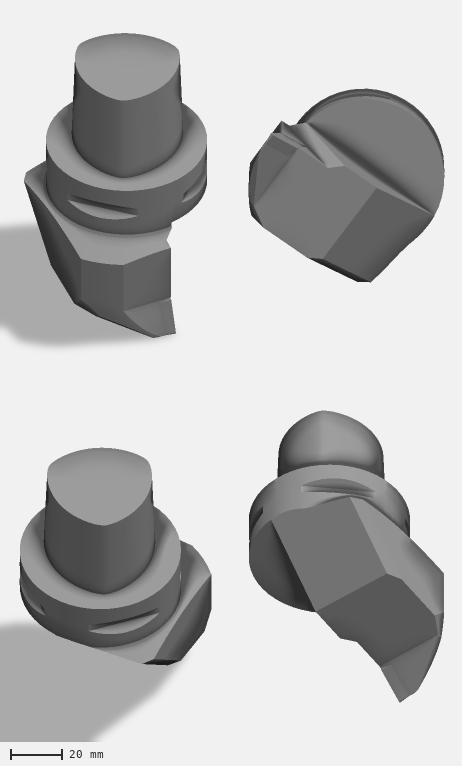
import cadquery as cq
import math


shank_height = 38.0
shank_base_radius = 21.9
shank_base_lobe = 1.5
shank_lobe_sharpening = 0.14
shank_top_scale = 0.94

flange_radius = 31.5
flange_height = 20.3
groove_floor_offset = 27.9
groove_center_z = -11.1
groove_floor_width = 3.5
groove_mouth_width = 7.8

neck_bottom_z = -22.0
fillet_radius_end = 32.5
fillet_end_z = -22.9
head_radius = 44.9
shoulder_edge_z = -26.5

head_front_y = -33.9
head_back_y = 4.5
head_right_x = 40.0
head_corner_x = -3.0
head_bottom_angle = 10
slope_chamfer = 3.1

facet_point = (29.4, head_front_y, -47.1)
facet_normal = (35.3, -71.2, -32.5)
nose_relief_point = (31.9, -28.8, -55.2)
nose_relief_normal = (34.7, -43.4, -46.0)

clearance_top = (36.1, -24.1)
clearance_bottom = (17.5, -52.4)

tip_x = 45.0
tip_z = shank_height - 103.0
tip_radius = 0.8
insert_side = 16.6
lower_flank_angle = -37.5
right_flank_angle = -72.5
insert_face_y = -0.2
insert_thickness = 4.6
relief_angle = 7

big = 123.6


def cut_block(origin, normal):
    """Block that fills the side of a plane that its normal points to."""
    return cq.Workplane(cq.Plane(origin, normal=normal)).box(big, big, big, centered=(True, True, False))


def polar(angle):
    return math.cos(math.radians(angle)), math.sin(math.radians(angle))


def step(point, direction, length):
    return point[0] + direction[0] * length, point[1] + direction[1] * length


def along_y(points, y_start, y_end):
    """Prism of an XZ outline between two Y positions."""
    plane = cq.Workplane("XZ", origin=(0, y_end, 0))
    return plane.polyline(points).close().extrude(y_end - y_start)


lower_dir = polar(lower_flank_angle)
right_dir = polar(right_flank_angle)
tip_bisector = polar((lower_flank_angle + right_flank_angle) / 2)
half_tip_sine = math.sin(math.radians((lower_flank_angle - right_flank_angle) / 2))
tip_center = (tip_x - tip_radius, tip_z + tip_radius)


def sharp_tip(inset):
    """Point where the flanks would meet, with both flanks moved inwards by inset."""
    return step(tip_center, tip_bisector, (tip_radius - inset) / half_tip_sine)


def rhombus():
    tip = sharp_tip(0)
    lower = step(tip, lower_dir, -insert_side)
    right = step(tip, right_dir, -insert_side)
    far = step(lower, right_dir, -insert_side)
    return [tip, right, far, lower]


def make_insert():
    """Relieved rhombic insert with rounded acute corners."""
    plate = along_y(rhombus(), insert_face_y - insert_thickness, insert_face_y)
    acute = [rhombus()[0], rhombus()[2]]
    for x, z in acute:
        edge = cq.selectors.NearestToPointSelector((x, insert_face_y - insert_thickness / 2, z))
        plate = plate.edges(edge).fillet(tip_radius)
    outline = plate.faces(">Y").wires().val()
    return (
        cq.Workplane("XZ", origin=(0, insert_face_y, 0))
        .add(outline)
        .toPending()
        .extrude(insert_thickness, taper=relief_angle)
    )


def lobed_point(t, scale):
    """Three-lobed curve with one lobe towards +Y, from the distance of its tangents to the axis."""
    angle = 2 * math.pi * t
    three_fold = shank_base_lobe * math.sin(3 * angle)
    six_fold = shank_lobe_sharpening * math.cos(6 * angle)
    support = scale * (shank_base_radius - three_fold - six_fold)
    three_fold_slope = -3 * shank_base_lobe * math.cos(3 * angle)
    six_fold_slope = 6 * shank_lobe_sharpening * math.sin(6 * angle)
    slope = scale * (three_fold_slope + six_fold_slope)
    x = support * math.cos(angle) - slope * math.sin(angle)
    y = support * math.sin(angle) + slope * math.cos(angle)
    return x, y


def make_shank():
    return (
        cq.Workplane("XY")
        .parametricCurve(lambda t: lobed_point(t, 1.0))
        .workplane(offset=shank_height)
        .parametricCurve(lambda t: lobed_point(t, shank_top_scale))
        .loft(ruled=True)
    )


def make_groove(angle):
    """Gripper groove with a flat floor and flared sides, along a chord of the flange."""
    depth = flange_radius - groove_floor_offset
    floor = groove_floor_width / 2
    mouth = groove_mouth_width / 2
    profile = [
        (groove_floor_offset, groove_center_z - floor),
        (groove_floor_offset + depth, groove_center_z - mouth),
        (groove_floor_offset + depth, groove_center_z + mouth),
        (groove_floor_offset, groove_center_z + floor),
    ]
    groove = along_y(profile, -flange_radius, flange_radius)
    return groove.rotate((0, 0, 0), (0, 0, 1), angle)


def make_flange():
    flange = cq.Workplane("XY").circle(flange_radius).extrude(-flange_height)
    for angle in (45, 135, 225, 315):
        flange = flange.cut(make_groove(angle))
    return flange


def make_head_envelope():
    profile = [
        (0, -flange_height),
        (flange_radius, -flange_height),
        (flange_radius, neck_bottom_z),
        (fillet_radius_end, fillet_end_z),
        (head_radius, shoulder_edge_z),
        (head_radius, tip_z),
        (0, tip_z),
    ]
    return cq.Workplane("XZ").polyline(profile).close().revolve(360, (0, 0), (0, 1))


def make_head_block():
    """Prism of the head outline, with its nose under the insert and the slope chamfer."""
    relief = insert_thickness * math.tan(math.radians(relief_angle))
    nose = sharp_tip(relief)
    slope_start = (-flange_radius, -flange_height)
    slope_end = (head_corner_x, -flange_height - flange_radius - head_corner_x)
    bottom_slope = -math.tan(math.radians(head_bottom_angle))
    flank_slope = lower_dir[1] / lower_dir[0]
    bottom_at_nose = slope_end[1] + bottom_slope * (nose[0] - slope_end[0])
    flank_start_x = nose[0] - (bottom_at_nose - nose[1]) / (bottom_slope - flank_slope)
    flank_start = (flank_start_x, nose[1] + flank_slope * (flank_start_x - nose[0]))
    right_start = (head_right_x, nose[1] + (head_right_x - nose[0]) * right_dir[1] / right_dir[0])
    outline = [slope_start, slope_end, flank_start, nose, right_start, (head_right_x, -flange_height)]
    block = along_y(outline, head_front_y, head_back_y)
    nose_edge = cq.selectors.NearestToPointSelector((nose[0], (head_front_y + head_back_y) / 2, nose[1]))
    block = block.edges(nose_edge).fillet(tip_radius - relief)
    slope_middle = ((slope_start[0] + slope_end[0]) / 2, head_front_y, (slope_start[1] + slope_end[1]) / 2)
    return block.edges(cq.selectors.NearestToPointSelector(slope_middle)).chamfer(slope_chamfer)


def make_chip_clearance():
    """Space behind the seat plane, with a wall sloped at 45 degrees along Y."""
    direction = cq.Vector(
        clearance_top[0] - clearance_bottom[0], 0, clearance_top[1] - clearance_bottom[1]
    )
    wall_normal = cq.Vector(direction.z, 0, -direction.x).normalized()
    tilted = wall_normal + cq.Vector(0, 1, 0)
    wall = cut_block((clearance_top[0], 0, clearance_top[1]), tilted)
    return wall.intersect(cut_block((0, 0, 0), (0, 1, 0)))


def make_holder(insert):
    head = make_head_block().intersect(make_head_envelope())
    head = head.cut(make_chip_clearance())
    head = head.cut(cut_block(facet_point, facet_normal))
    head = head.cut(cut_block(nose_relief_point, nose_relief_normal))
    head = head.cut(along_y(rhombus(), insert_face_y, head_back_y))
    head = head.cut(insert)
    return make_shank().union(make_flange()).union(head)


insert = make_insert()
holder = make_holder(insert)

result = cq.Compound.makeCompound([holder.solids().val(), insert.val()])